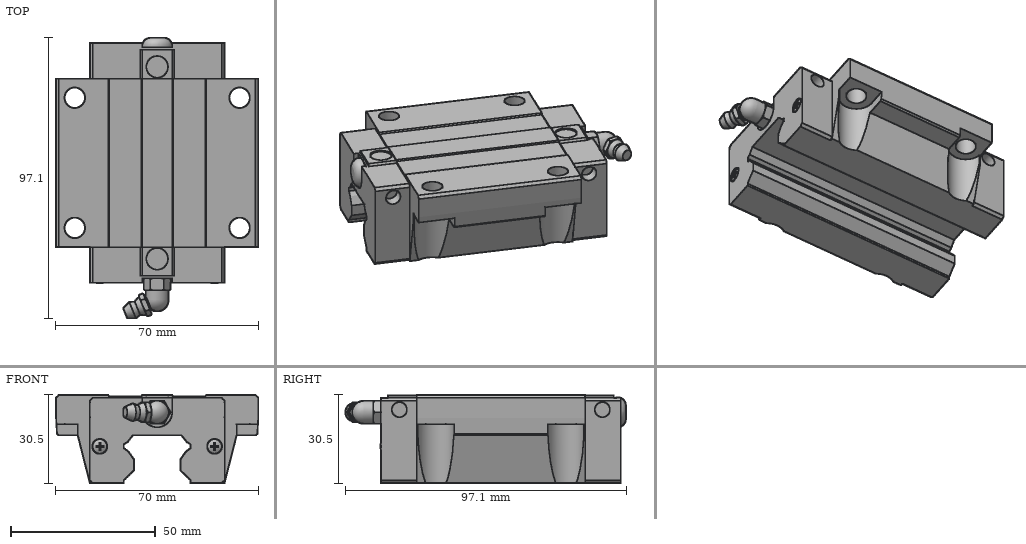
import cadquery as cq
import math

flange_half_width = 35.0
block_half_length = 29.15
block_top = 30.5
flange_bottom = 16.5
flange_split = 22.5
flange_draft = 0.3
top_chamfer = 1.0
bottom_chamfer = 0.6
waist_half_width = 27.5
foot_half_width = 23.3
pad_inner_edge = 17.0
pad_step = 0.5
pad_slope_run = 0.45

hole_x = 28.5
hole_y = 22.5
hole_diameter = 7.0
spotface_radius = 6.3
spotface_top = 20.4

cap_end = 39.1
seal_end = 41.5
cap_top = 29.5
cap_chamfer = 1.0

strip_half_width = 5.2
cap_strip_slope_run = 0.65
block_strip_slope_run = 0.3
block_strip_top = block_top
cap_strip_top = 30.3

top_port_y = 33.2
top_port_radius = 3.75
top_port_depth = 0.5
side_port_y = 35.1
side_port_z = 25.4
side_port_radius = 2.6
side_port_depth = 4.5

lube_z = 24.5
notch_radius = 5.2
notch_floor = 39.9
plug_end = 43.3
plug_flat_radius = 2.5
plug_corner_start = 40.2
hex_across_corners = 9.3
hex_end = 44.1
hex_edge_chamfer = 0.35
elbow_radius = 4.0
elbow_center = 47.43
arm_angle = 22.5
collar_across_corners = 8.1
collar_start = 3.55
collar_end = 5.4

arm_base = (collar_end, 3.4)
arm_shoulder = (6.5, 3.05)
arm_neck = (7.4, 2.5)
arm_flare = (9.2, 3.1)
arm_tip = (12.0, 1.9)

screw_x = 19.85
screw_z = 12.7
screw_recess_radius = 2.6
screw_recess_depth = 0.5
screw_head_radius = 2.5
screw_dome_height = 0.2
cross_length = 2.6
cross_width = 0.5
cross_depth = 0.6

channel_half = [
    (8.4, flange_bottom),
    (10.2, 14.2),
    (11.5, 13.4),
    (11.5, 12.1),
    (9.9, 10.9),
    (8.0, 8.2),
    (8.0, 4.4),
    (11.5, 1.0),
    (11.5, 0.0),
]


def mirrored_prism(half_outline, y_start, y_end):
    """Extrude along Y an outline given by its right half, mirrored about X = 0."""
    left = [(-x, z) for x, z in reversed(half_outline)]
    outline = cq.Workplane("XZ", origin=(0, y_start, 0)).polyline(half_outline + left).close()
    return outline.extrude(-(y_end - y_start))


def block():
    """Flanged block with tapered sides, raised mounting pads and a centre strip."""
    floor = block_top - pad_step
    half_outline = [
        (pad_inner_edge - pad_slope_run, floor),
        (pad_inner_edge, block_top),
        (flange_half_width - top_chamfer, block_top),
        (flange_half_width, block_top - top_chamfer),
        (flange_half_width, flange_split),
        (flange_half_width - flange_draft, flange_bottom + bottom_chamfer),
        (flange_half_width - flange_draft - bottom_chamfer, flange_bottom),
        (waist_half_width, flange_bottom),
        (foot_half_width, 0),
    ]
    body = mirrored_prism(half_outline, -block_half_length, block_half_length)
    strip = mirrored_prism(
        [(strip_half_width, block_strip_top), (strip_half_width + block_strip_slope_run, floor)],
        -block_half_length,
        block_half_length,
    )
    return body.union(strip)


def mounting_cuts():
    """Four through holes, each with a spotface from below that opens to the side and the end."""
    cuts = cq.Workplane("XY")
    for side in (-1, 1):
        for end in (-1, 1):
            x, y = side * hole_x, end * hole_y
            hole = cq.Workplane("XY").center(x, y).circle(hole_diameter / 2).extrude(block_top)
            spotface = cq.Workplane("XY").center(x, y).circle(spotface_radius).extrude(spotface_top)
            side_opening = (
                cq.Workplane("XY")
                .center(x + side * spotface_radius, y)
                .rect(2 * spotface_radius, 2 * spotface_radius)
                .extrude(spotface_top)
            )
            end_opening = (
                cq.Workplane("XY")
                .moveTo(side * waist_half_width, y)
                .lineTo(side * waist_half_width, end * block_half_length)
                .lineTo(side * flange_half_width, end * block_half_length)
                .lineTo(side * flange_half_width, y)
                .close()
                .extrude(spotface_top)
            )
            cuts = cuts.union(hole).union(spotface).union(side_opening).union(end_opening)
    return cuts


def end_caps():
    """Chamfered caps with their seals on both ends of the block, with the raised strip on the caps."""
    half_outline = [
        (foot_half_width - cap_chamfer, cap_top),
        (foot_half_width, cap_top - cap_chamfer),
        (foot_half_width, cap_chamfer),
        (foot_half_width - cap_chamfer, 0),
    ]
    strip_outline = [
        (strip_half_width, cap_strip_top),
        (strip_half_width + cap_strip_slope_run, cap_top),
    ]
    caps = cq.Workplane("XY")
    for start, cap_stop, seal_stop in (
        (block_half_length, cap_end, seal_end),
        (-block_half_length, -cap_end, -seal_end),
    ):
        caps = caps.union(mirrored_prism(half_outline, start, seal_stop))
        caps = caps.union(mirrored_prism(strip_outline, start, cap_stop))
    return caps


def port_cuts():
    """Shallow round recesses on top of the caps and blind ports in their sides."""
    cuts = cq.Workplane("XY")
    for end in (-1, 1):
        top_port = (
            cq.Workplane("XY", origin=(0, end * top_port_y, cap_strip_top - top_port_depth))
            .circle(top_port_radius)
            .extrude(top_port_depth)
        )
        cuts = cuts.add(top_port)
        for side in (-1, 1):
            side_port = (
                cq.Workplane("YZ", origin=(side * foot_half_width, end * side_port_y, side_port_z))
                .circle(side_port_radius)
                .extrude(-side * side_port_depth)
            )
            cuts = cuts.add(side_port)
    return cuts.combine()


def notch_cuts():
    """U-shaped notch, open to the top, in the outer face of each seal."""
    depth = seal_end - notch_floor
    cuts = cq.Workplane("XY")
    for end in (-1, 1):
        notch = (
            cq.Workplane("XZ", origin=(0, end * notch_floor, lube_z))
            .moveTo(-notch_radius, 0)
            .threePointArc((0, -notch_radius), (notch_radius, 0))
            .lineTo(notch_radius, block_top - lube_z)
            .lineTo(-notch_radius, block_top - lube_z)
            .close()
            .extrude(-end * depth)
        )
        cuts = cuts.add(notch)
    return cuts.combine()


def plug():
    """Domed plug closing the +Y lubrication port."""
    corner_share = math.sin(math.pi / 4)
    corner_x = plug_flat_radius + (notch_radius - plug_flat_radius) * corner_share
    corner_y = plug_corner_start + (plug_end - plug_corner_start) * corner_share
    return (
        cq.Workplane("XY", origin=(0, 0, lube_z))
        .moveTo(0, notch_floor)
        .lineTo(notch_radius, notch_floor)
        .lineTo(notch_radius, plug_corner_start)
        .threePointArc((corner_x, corner_y), (plug_flat_radius, plug_end))
        .lineTo(0, plug_end)
        .close()
        .revolve(360, (0, 0), (0, 1))
    )


def hexagon(plane, across_corners, length, turn):
    """Hexagonal prism standing on a plane, with its corners chamfered at both ends."""
    prism = cq.Workplane(plane).transformed(rotate=(0, 0, turn)).polygon(6, across_corners).extrude(length)
    limit = cq.Workplane(plane).circle(across_corners / 2).extrude(length)
    return prism.intersect(limit.edges("%CIRCLE").chamfer(hex_edge_chamfer))


def grease_fitting():
    """Angled grease fitting on the -Y end: hex base, elbow and tilted nipple."""
    base_plane = cq.Plane(origin=(0, -notch_floor, lube_z), xDir=(1, 0, 0), normal=(0, -1, 0))
    base = hexagon(base_plane, hex_across_corners, hex_end - notch_floor, 0)
    center = (0, -elbow_center, lube_z)
    elbow = cq.Workplane("XZ", origin=center).circle(elbow_radius).extrude(hex_end - elbow_center)
    ball = cq.Workplane("XY", origin=center).sphere(elbow_radius)

    tilt = math.radians(arm_angle)
    arm_axis = cq.Vector(-math.cos(tilt), -math.sin(tilt), 0)
    collar_origin = cq.Vector(center) + arm_axis * collar_start
    collar_plane = cq.Plane(origin=collar_origin, xDir=(0, 0, 1), normal=arm_axis)
    collar = hexagon(collar_plane, collar_across_corners, collar_end - collar_start, 90)
    nipple = (
        cq.Workplane(cq.Plane(origin=center, xDir=arm_axis, normal=(0, 0, 1)))
        .lineTo(0, arm_neck[1])
        .lineTo(collar_start, arm_neck[1])
        .lineTo(collar_start, arm_base[1])
        .lineTo(*arm_base)
        .threePointArc(arm_shoulder, arm_neck)
        .lineTo(*arm_flare)
        .lineTo(*arm_tip)
        .lineTo(arm_tip[0], 0)
        .close()
        .revolve(360, (0, 0), (1, 0))
    )
    return base.union(elbow).union(ball).union(collar).union(nipple)


def add_cover_screws(body):
    """Domed cross-head screws set in shallow round recesses of the -Y seal."""
    floor = seal_end - screw_recess_depth
    head_height = screw_recess_depth + screw_dome_height
    dome_radius = (screw_head_radius**2 + head_height**2) / (2 * head_height)
    mid_radius = screw_head_radius / 2
    mid_height = head_height - dome_radius + math.sqrt(dome_radius**2 - mid_radius**2)
    for side in (-1, 1):
        x = side * screw_x
        face = cq.Workplane("XZ", origin=(x, -floor, screw_z))
        recess = face.circle(screw_recess_radius).extrude(screw_recess_depth)
        head = (
            cq.Workplane("XY", origin=(x, -floor, screw_z))
            .lineTo(screw_head_radius, 0)
            .threePointArc((mid_radius, -mid_height), (0, -head_height))
            .close()
            .revolve(360, (0, 0), (0, 1))
        )
        cross_face = face.workplane(offset=head_height - cross_depth)
        cross = cross_face.rect(cross_length, cross_width).extrude(cross_depth)
        cross = cross.union(cross_face.rect(cross_width, cross_length).extrude(cross_depth))
        body = body.cut(recess).union(head).cut(cross)
    return body


result = block().cut(mounting_cuts()).union(end_caps())
result = result.cut(mirrored_prism(channel_half, -seal_end, seal_end))
result = result.cut(port_cuts()).cut(notch_cuts())
result = add_cover_screws(result)
result = result.union(plug()).union(grease_fitting())